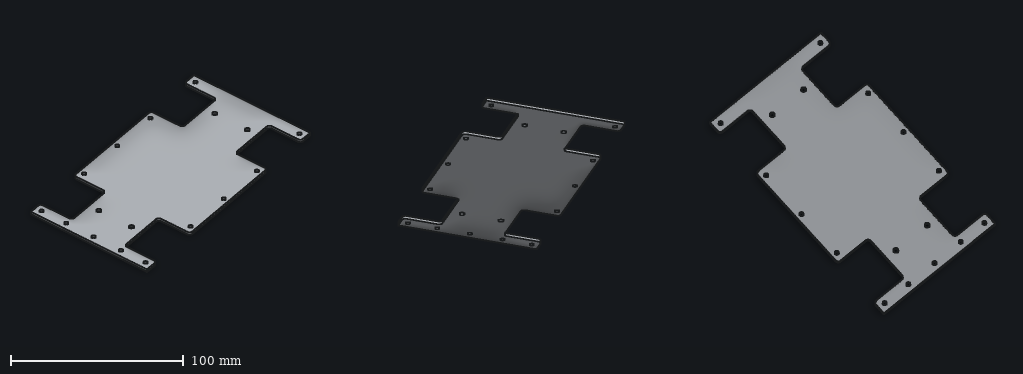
import cadquery as cq

LENGTH = 155.0
WIDTH = 85.0
THICKNESS = 2.0

BAR_DEPTH = 9.0
NECK_WIDTH = 38.3
BODY_LENGTH = 73.0
CORNER_RADIUS = 2.0

SMALL_HOLE = 2.5
BAR_HOLE_X = 38.0
BAR_HOLE_INNER_X = 20.0
BAR_HOLE_Y = LENGTH / 2 - BAR_DEPTH / 2
BODY_HOLE_X = 38.9
BODY_HOLE_Y = 31.5

LARGE_HOLE = 3.0
NECK_HOLE_X = 12.0
UPPER_NECK_HOLE_Y = 57.5
LOWER_NECK_HOLE_Y = -52.5


def block(width, length, y_center=0):
    """Full-thickness rectangle centred on X, standing on Z = 0."""
    return (
        cq.Workplane("XY")
        .center(0, y_center)
        .rect(width, length)
        .extrude(THICKNESS)
    )


def make_plate():
    """Unpierced plate; every corner is rounded except the four outermost."""
    bar_center = LENGTH / 2 - BAR_DEPTH / 2
    plate = block(NECK_WIDTH, LENGTH).union(block(WIDTH, BODY_LENGTH))
    for side in (-1, 1):
        plate = plate.union(block(WIDTH, BAR_DEPTH, side * bar_center))
    inner_length = LENGTH - BAR_DEPTH
    inner_zone = cq.selectors.BoxSelector(
        (-WIDTH, -inner_length / 2, -THICKNESS),
        (WIDTH, inner_length / 2, 2 * THICKNESS),
    )
    return plate.edges("|Z").edges(inner_zone).fillet(CORNER_RADIUS)


def drill(plate, points, diameter):
    """Through holes at the given XY points."""
    holes = cq.Workplane("XY").pushPoints(points).circle(diameter / 2).extrude(THICKNESS)
    return plate.cut(holes)


bar_points = [(x, y) for x in (-BAR_HOLE_X, BAR_HOLE_X) for y in (-BAR_HOLE_Y, BAR_HOLE_Y)]
lower_bar_points = [(x, -BAR_HOLE_Y) for x in (-BAR_HOLE_INNER_X, 0, BAR_HOLE_INNER_X)]
body_points = [(x, y) for x in (-BODY_HOLE_X, BODY_HOLE_X) for y in (-BODY_HOLE_Y, 0, BODY_HOLE_Y)]
neck_points = [
    (x, y) for x in (-NECK_HOLE_X, NECK_HOLE_X) for y in (LOWER_NECK_HOLE_Y, UPPER_NECK_HOLE_Y)
]

result = make_plate()
result = drill(result, bar_points + lower_bar_points + body_points, SMALL_HOLE)
result = drill(result, neck_points, LARGE_HOLE)